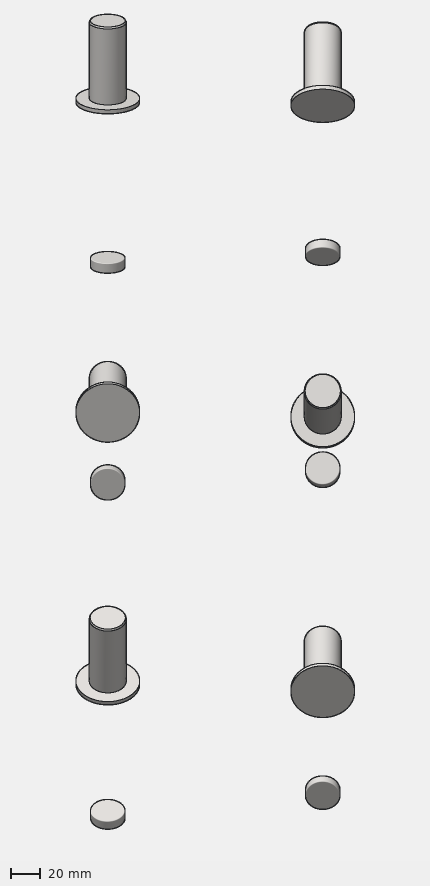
import cadquery as cq
import math

OVERALL_HEIGHT = 178.0

FLANGE_DIAMETER = 43.0
FLANGE_THICKNESS = 3.0
SHANK_DIAMETER = 25.0
PIN_HEIGHT = 59.0
LEAD_IN_HEIGHT = 1.2
LEAD_IN_ANGLE = 30.0
LEAD_IN_WIDTH = LEAD_IN_HEIGHT * math.tan(math.radians(LEAD_IN_ANGLE))

DISC_DIAMETER = 23.4
DISC_THICKNESS = 7.1
DISC_RIM_RADIUS = 0.55

DISC_BOTTOM_Z = PIN_HEIGHT - OVERALL_HEIGHT


def make_pin():
    """Round shank with a steep lead-in chamfer at the top, standing on a thin flange."""
    shank_radius = SHANK_DIAMETER / 2
    flange_radius = FLANGE_DIAMETER / 2
    half_profile = (
        cq.Workplane("XZ")
        .moveTo(0, 0)
        .lineTo(flange_radius, 0)
        .lineTo(flange_radius, FLANGE_THICKNESS)
        .lineTo(shank_radius, FLANGE_THICKNESS)
        .lineTo(shank_radius, PIN_HEIGHT - LEAD_IN_HEIGHT)
        .lineTo(shank_radius - LEAD_IN_WIDTH, PIN_HEIGHT)
        .lineTo(0, PIN_HEIGHT)
        .close()
    )
    return half_profile.revolve(360, (0, 0, 0), (0, 1, 0))


def make_disc():
    """Short round disc with both rims rounded."""
    disc = cq.Workplane("XY").workplane(offset=DISC_BOTTOM_Z)
    disc = disc.circle(DISC_DIAMETER / 2).extrude(DISC_THICKNESS)
    return disc.faces("<Z or >Z").edges().fillet(DISC_RIM_RADIUS)


pin = make_pin()
disc = make_disc()

result = cq.Compound.makeCompound([pin.val(), disc.val()])